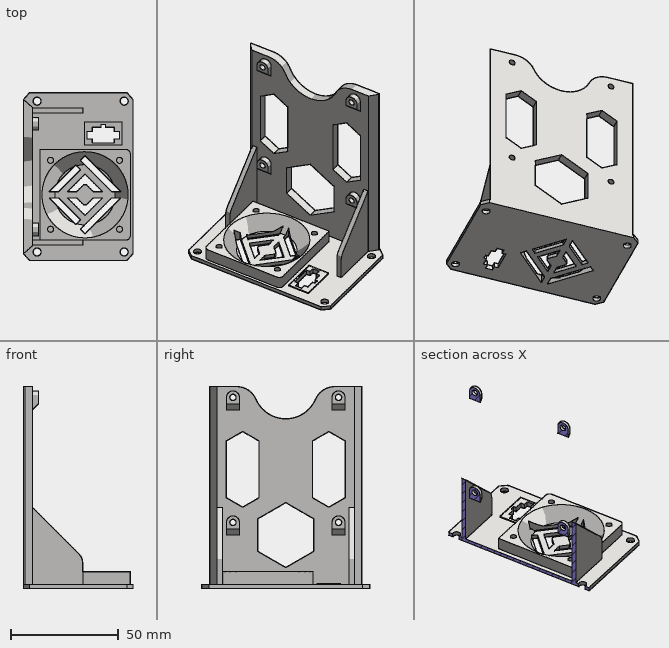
import cadquery as cq
import math

BASE_LENGTH = 51.0
BASE_WIDTH = 78.0
BASE_THICKNESS = 2.0
CORNER_CUT_X = 2.9
CORNER_CUT_Y = 3.3
BASE_HOLE_DIAMETER = 3.6
BASE_HOLE_X = (6.4, 46.8)
BASE_HOLE_Y = 35.0

WALL_HEIGHT = 93.9
WALL_THICKNESS = 4.3
WALL_HALF_WIDTH = 35.3
WALL_SIDE_LAND = 0.7
WALL_INNER_HALF_WIDTH = 32.0
NOTCH_RADIUS = 15.0
NOTCH_SHOULDER_RADIUS = 10.0

HEX_RADIUS = 15.0
HEX_Z = 24.9
WINDOW_POINT_ANGLE = 30.0
WINDOW_WIDTH = 15.0
WINDOW_HEIGHT = 35.0
WINDOW_Y = 20.0
WINDOW_Z = 55.4

BOARD_HOLE_Y = 24.5
BOARD_HOLE_LOW_Z = 30.8
BOARD_HOLE_PITCH_Z = 58.0
SCREW_HOLE_DIAMETER = 2.8
STANDOFF_DIAMETER = 6.0
STANDOFF_LENGTH = 2.8
STANDOFF_DROP = 5.8

GUSSET_THICKNESS = 2.4
GUSSET_OUTER_Y = 31.8
GUSSET_END_X = 27.6
GUSSET_TOP_Z = 37.7
GUSSET_ROUND = 6.0

FAN_X = 28.65
FAN_Y = -8.45
FAN_SEAT_SIDE = 42.0
FAN_SEAT_TOP_Z = 8.0
FAN_SEAT_ROUND = 2.0
FAN_HOLE_PITCH = 32.0
BOWL_TOP_RADIUS = 20.0
BOWL_FLOOR_RADIUS = 14.0
BOWL_FLOOR_Z = 2.0

GRILLE_TIP = 18.05
GRILLE_BAR = 3.0
GRILLE_STEP = GRILLE_BAR * math.sqrt(2)
GRILLE_CORE_HALF_HEIGHT = 4.7

PLUG_X = 37.1
PLUG_Y = 19.2
PLUG_RIM = (17.6, 10.8)
PLUG_RIM_CENTRE_Y = 20.0
PLUG_RIM_TOP_Z = 2.5
PLUG_BODY = (10.2, 7.2)
PLUG_WINGS = (15.0, 3.4)
PLUG_KEY_WIDTH = 2.0
PLUG_KEY_TOP_Y = 24.1


def base_plate():
    half_width = BASE_WIDTH / 2
    outline = []
    for side in (-1, 1):
        corner = [
            (0, side * (half_width - CORNER_CUT_Y)),
            (CORNER_CUT_X, side * half_width),
            (BASE_LENGTH - CORNER_CUT_X, side * half_width),
            (BASE_LENGTH, side * (half_width - CORNER_CUT_Y)),
        ]
        outline += corner[::-side]
    plate = cq.Workplane("XY").polyline(outline).close().extrude(BASE_THICKNESS)
    hole_points = [(x, side * BASE_HOLE_Y) for x in BASE_HOLE_X for side in (-1, 1)]
    holes = cq.Workplane("XY").pushPoints(hole_points).circle(BASE_HOLE_DIAMETER / 2).extrude(BASE_THICKNESS)
    return plate.cut(holes)


def wall_notch():
    """Half-round dip in the top edge, blended into it by rounded shoulders."""
    reach = NOTCH_RADIUS + NOTCH_SHOULDER_RADIUS
    shoulder_y = math.sqrt(reach**2 - NOTCH_SHOULDER_RADIUS**2)
    shoulder_z = WALL_HEIGHT - NOTCH_SHOULDER_RADIUS
    blend_share = NOTCH_RADIUS / reach
    blend_y = shoulder_y * blend_share
    blend_z = WALL_HEIGHT - NOTCH_SHOULDER_RADIUS * blend_share
    top_angle = math.radians(90)
    blend_angle = math.atan2(NOTCH_SHOULDER_RADIUS, -shoulder_y)
    middle_angle = (top_angle + blend_angle) / 2
    middle_y = shoulder_y + NOTCH_SHOULDER_RADIUS * math.cos(middle_angle)
    middle_z = shoulder_z + NOTCH_SHOULDER_RADIUS * math.sin(middle_angle)
    return (
        cq.Workplane("YZ")
        .moveTo(-shoulder_y, WALL_HEIGHT)
        .threePointArc((-middle_y, middle_z), (-blend_y, blend_z))
        .threePointArc((0, WALL_HEIGHT - NOTCH_RADIUS), (blend_y, blend_z))
        .threePointArc((middle_y, middle_z), (shoulder_y, WALL_HEIGHT))
        .close()
        .extrude(WALL_THICKNESS)
    )


def pointed_window(centre_y, centre_z, width, height):
    """Six-sided opening with vertical sides and pointed ends at top and bottom."""
    half_width = width / 2
    half_height = height / 2
    shoulder = half_height - half_width * math.tan(math.radians(WINDOW_POINT_ANGLE))
    outline = [
        (half_width, -shoulder),
        (half_width, shoulder),
        (0, half_height),
        (-half_width, shoulder),
        (-half_width, -shoulder),
        (0, -half_height),
    ]
    return (
        cq.Workplane("YZ")
        .center(centre_y, centre_z)
        .polyline(outline)
        .close()
        .extrude(WALL_THICKNESS)
    )


def wall():
    outline = [
        (0, -WALL_HALF_WIDTH),
        (WALL_SIDE_LAND, -WALL_HALF_WIDTH),
        (WALL_THICKNESS, -WALL_INNER_HALF_WIDTH),
        (WALL_THICKNESS, WALL_INNER_HALF_WIDTH),
        (WALL_SIDE_LAND, WALL_HALF_WIDTH),
        (0, WALL_HALF_WIDTH),
    ]
    body = cq.Workplane("XY").polyline(outline).close().extrude(WALL_HEIGHT)
    body = body.cut(wall_notch())
    hex_width = HEX_RADIUS * math.sqrt(3)
    body = body.cut(pointed_window(0, HEX_Z, hex_width, 2 * HEX_RADIUS))
    for side in (-1, 1):
        body = body.cut(pointed_window(side * WINDOW_Y, WINDOW_Z, WINDOW_WIDTH, WINDOW_HEIGHT))
    return body


def standoff(y, z):
    """Round-topped pad whose underside slopes back to the wall at 45 degrees."""
    radius = STANDOFF_DIAMETER / 2
    end_x = WALL_THICKNESS + STANDOFF_LENGTH
    side_outline = [
        (WALL_THICKNESS, z - STANDOFF_DROP),
        (end_x, z - STANDOFF_DROP + STANDOFF_LENGTH),
        (end_x, z),
        (WALL_THICKNESS, z),
    ]
    lower = (
        cq.Workplane("XZ", origin=(0, y, 0))
        .polyline(side_outline)
        .close()
        .extrude(radius, both=True)
    )
    upper = (
        cq.Workplane("YZ", origin=(WALL_THICKNESS, y, z))
        .circle(radius)
        .extrude(STANDOFF_LENGTH)
    )
    return lower.union(upper)


def board_mount_points():
    levels = (BOARD_HOLE_LOW_Z, BOARD_HOLE_LOW_Z + BOARD_HOLE_PITCH_Z)
    return [(side * BOARD_HOLE_Y, z) for side in (-1, 1) for z in levels]


def board_holes():
    return (
        cq.Workplane("YZ")
        .pushPoints(board_mount_points())
        .circle(SCREW_HOLE_DIAMETER / 2)
        .extrude(WALL_THICKNESS + STANDOFF_LENGTH)
    )


def gusset(side):
    corner_z = GUSSET_TOP_Z - (GUSSET_END_X - WALL_THICKNESS)
    outline = [
        (WALL_THICKNESS, 0),
        (GUSSET_END_X, 0),
        (GUSSET_END_X, corner_z),
        (WALL_THICKNESS, GUSSET_TOP_Z),
    ]
    centre_y = side * (GUSSET_OUTER_Y - GUSSET_THICKNESS / 2)
    return (
        cq.Workplane("XZ", origin=(0, centre_y, 0))
        .polyline(outline)
        .close()
        .extrude(GUSSET_THICKNESS / 2, both=True)
        .edges(cq.selectors.NearestToPointSelector((GUSSET_END_X, centre_y, corner_z)))
        .fillet(GUSSET_ROUND)
    )


def fan_seat():
    height = FAN_SEAT_TOP_Z - BASE_THICKNESS
    seat = cq.Workplane("XY", origin=(FAN_X, FAN_Y, BASE_THICKNESS))
    return (
        seat.rect(FAN_SEAT_SIDE, FAN_SEAT_SIDE)
        .extrude(height)
        .edges("|Z and >X")
        .fillet(FAN_SEAT_ROUND)
    )


def fan_bowl():
    return (
        cq.Workplane("XZ", origin=(FAN_X, FAN_Y, 0))
        .moveTo(0, BOWL_FLOOR_Z)
        .lineTo(BOWL_FLOOR_RADIUS, BOWL_FLOOR_Z)
        .lineTo(BOWL_TOP_RADIUS, FAN_SEAT_TOP_Z)
        .lineTo(0, FAN_SEAT_TOP_Z)
        .close()
        .revolve(360, (0, 0, 0), (0, 1, 0))
    )


def fan_screw_holes():
    return (
        cq.Workplane("XY", origin=(FAN_X, FAN_Y, BASE_THICKNESS))
        .rect(FAN_HOLE_PITCH, FAN_HOLE_PITCH, forConstruction=True)
        .vertices()
        .circle(SCREW_HOLE_DIAMETER / 2)
        .extrude(FAN_SEAT_TOP_Z - BASE_THICKNESS)
    )


def grille_half(side):
    """Slots on one side (+Y or -Y) of the grille's middle bar."""
    bar_edge = GRILLE_BAR / 2
    outer_inside = GRILLE_TIP - GRILLE_STEP
    inner_tip = outer_inside - GRILLE_STEP
    core_tip = inner_tip - GRILLE_STEP
    long_slot = [
        (GRILLE_TIP - bar_edge, bar_edge),
        (0, GRILLE_TIP),
        (-GRILLE_STEP / 2, GRILLE_TIP - GRILLE_STEP / 2),
        (outer_inside - bar_edge, bar_edge),
    ]
    short_slot = [
        (bar_edge - GRILLE_TIP, bar_edge),
        ((inner_tip - GRILLE_TIP) / 2, (inner_tip + GRILLE_TIP) / 2),
        ((inner_tip - outer_inside) / 2, (inner_tip + outer_inside) / 2),
        (bar_edge - outer_inside, bar_edge),
    ]
    core_flat = core_tip - GRILLE_CORE_HALF_HEIGHT
    chevron = [
        (inner_tip - bar_edge, bar_edge),
        (0, inner_tip),
        (bar_edge - inner_tip, bar_edge),
        (bar_edge - core_tip, bar_edge),
        (-core_flat, GRILLE_CORE_HALF_HEIGHT),
        (core_flat, GRILLE_CORE_HALF_HEIGHT),
        (core_tip - bar_edge, bar_edge),
    ]
    slots = cq.Workplane("XY")
    for outline in (long_slot, short_slot, chevron):
        points = [(FAN_X + x, FAN_Y + side * y) for x, y in outline]
        slots = slots.add(cq.Workplane("XY").polyline(points).close().extrude(FAN_SEAT_TOP_Z))
    return slots.combine()


def plug_rim():
    return (
        cq.Workplane("XY", origin=(PLUG_X, PLUG_RIM_CENTRE_Y, 0))
        .rect(*PLUG_RIM)
        .extrude(PLUG_RIM_TOP_Z)
    )


def plug_opening():
    through = cq.Workplane("XY", origin=(PLUG_X, PLUG_Y, 0))
    body = through.rect(*PLUG_BODY).extrude(PLUG_RIM_TOP_Z)
    wings = through.rect(*PLUG_WINGS).extrude(PLUG_RIM_TOP_Z)
    key_height = PLUG_KEY_TOP_Y - PLUG_Y
    key = through.center(0, key_height / 2).rect(PLUG_KEY_WIDTH, key_height).extrude(PLUG_RIM_TOP_Z)
    return body.union(wings).union(key)


result = base_plate().union(wall()).union(fan_seat()).union(plug_rim())
for y_side in (-1, 1):
    result = result.union(gusset(y_side))
for mount_y, mount_z in board_mount_points():
    result = result.union(standoff(mount_y, mount_z))

result = result.cut(board_holes()).cut(fan_bowl()).cut(fan_screw_holes()).cut(plug_opening())
for y_side in (-1, 1):
    result = result.cut(grille_half(y_side))